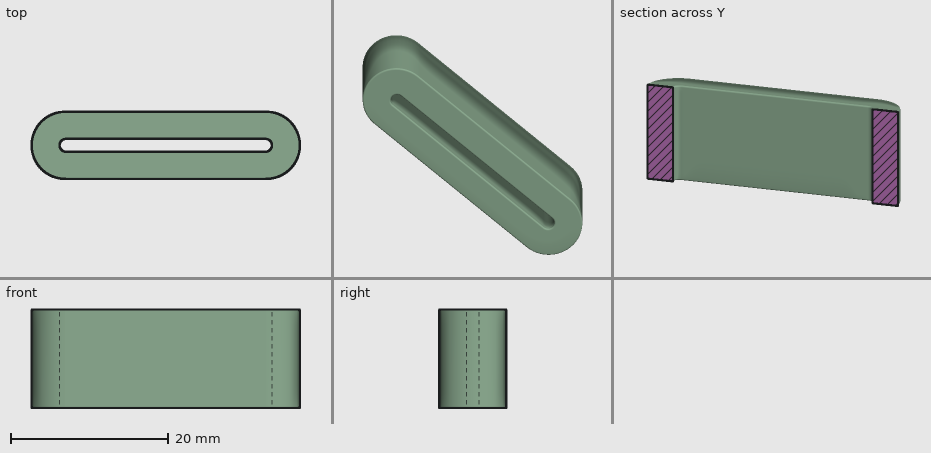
import cadquery as cq

length = 34.2
width = 8.6
height = 12.6

slot_length = 27.02
slot_width = 1.6

rim_radius = 0.2


def make_sleeve():
    """Round-ended block with a round-ended slot through its full height."""
    block = cq.Workplane("XY").slot2D(length, width).extrude(height)
    slot = cq.Workplane("XY").slot2D(slot_length, slot_width).extrude(height)
    sleeve = block.cut(slot)
    return sleeve.faces("<Z or >Z").edges().fillet(rim_radius)


sleeve = make_sleeve()

result = cq.Compound.makeCompound([*sleeve.solids().vals()])